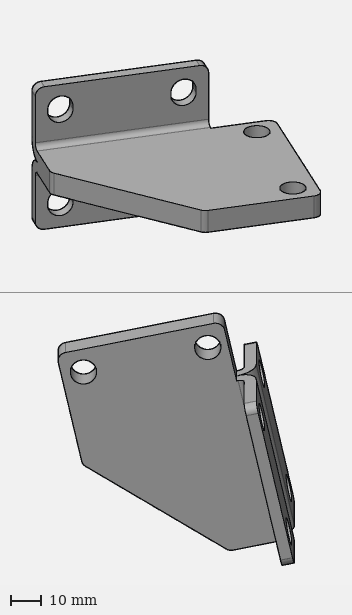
import cadquery as cq

sheet = 4.0
plate_thickness = 2 * sheet
width = 61.5
depth = 80.0
height = 52.0
flange_depth = 58.5
plate_setback = 6.5
cut_leg = 40.0
inner_bend = 2.0
outer_bend = inner_bend + sheet
corner_radius = 3.0

hole_diameter = 8.5
plate_hole_left = 13.1
plate_hole_right = 54.2
plate_hole_from_rear = 8.0
slot_length = 9.5
slot_front = 8.5
slot_rear = 50.0
slot_spacing = 34.0


def bent_angle():
    """Upper bent sheet: upright flange, bend, and a short leg lying on the mid-plane."""
    profile = (
        cq.Workplane("XZ")
        .moveTo(plate_setback, 0)
        .lineTo(outer_bend, 0)
        .radiusArc((0, outer_bend), outer_bend)
        .lineTo(0, height / 2)
        .lineTo(sheet, height / 2)
        .lineTo(sheet, outer_bend)
        .radiusArc((outer_bend, sheet), -inner_bend)
        .lineTo(plate_setback, sheet)
        .close()
        .extrude(-flange_depth)
    )
    return profile.faces(">Z").edges("|X").fillet(corner_radius)


def flat_plate():
    """Double-thickness plate with a 45 degree cut at the front right corner."""
    plate = (
        cq.Workplane("XY")
        .workplane(offset=-plate_thickness / 2)
        .moveTo(plate_setback, 0)
        .lineTo(width - cut_leg, 0)
        .lineTo(width, cut_leg)
        .lineTo(width, depth)
        .lineTo(plate_setback, depth)
        .close()
        .extrude(plate_thickness)
    )
    front_left = cq.selectors.NearestToPointSelector((plate_setback, 0, 0))
    vertical_edges = cq.selectors.StringSyntaxSelector("|Z")
    return plate.edges(vertical_edges - front_left).fillet(corner_radius)


def plate_holes():
    hole_y = depth - plate_hole_from_rear
    return (
        cq.Workplane("XY")
        .pushPoints([(plate_hole_left, hole_y), (plate_hole_right, hole_y)])
        .circle(hole_diameter / 2)
        .extrude(plate_thickness, both=True)
    )


def flange_slots():
    centres = [(y, z) for y in (slot_front, slot_rear) for z in (-slot_spacing / 2, slot_spacing / 2)]
    return (
        cq.Workplane("YZ")
        .pushPoints(centres)
        .slot2D(slot_length, hole_diameter, 90)
        .extrude(sheet)
    )


upper_angle = bent_angle()
lower_angle = upper_angle.mirror("XY")
body = flat_plate().union(upper_angle).union(lower_angle)
result = body.cut(plate_holes()).cut(flange_slots())